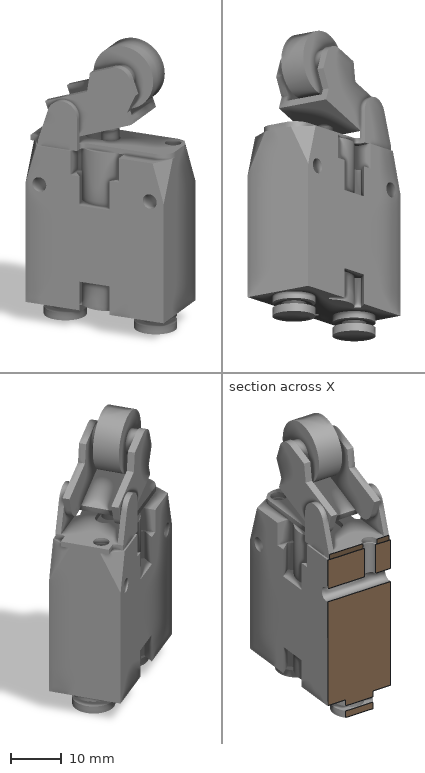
import cadquery as cq
import math

OVERALL_HEIGHT = 58.75

HOUSING_LENGTH = 30.0
HOUSING_WIDTH = 15.0
HOUSING_BOTTOM = 4.0
HOUSING_TOP = 37.05
CORNER_CUT = (2.4, 4.3, 8.15)

CROSS_HOLE_DIAMETER = 3.0
CROSS_HOLE_X = 12.0
CROSS_HOLE_Z = 29.0

CORE_RADIUS = 6.0
UPPER_RECESS_WIDTH = 10.5
UPPER_RECESS_FLOOR = 32.0
UPPER_RECESS_BACK_Y = 4.0
SLOT_MOUTH_WIDTH = 6.45
SLOT_INNER_WIDTH = 10.15
SLOT_INNER_DEPTH = 2.25
SLOT_BACK_WIDTH = 7.7
SLOT_BACK_DEPTH = SLOT_INNER_DEPTH + (SLOT_INNER_WIDTH - SLOT_BACK_WIDTH) / 2
TOP_SLOT_FLOOR = 25.9
BOTTOM_SLOT_ROOF = 10.0

FOOT_DIAMETER = 8.5
FOOT_NECK_DIAMETER = 5.0
FOOT_X = 9.8
FOOT_FLANGE_HEIGHT = 1.6
FOOT_NECK_TOP = 2.65

PLATE_THICKNESS = 1.1
PLATE_TOP = HOUSING_TOP + PLATE_THICKNESS
PLATE_WIDTH = 10.05
PLATE_CORNER_RADIUS = 3.05
EAR_INNER_Y = 5.95
EAR_THICKNESS = 1.2
EAR_OUTER_Y = EAR_INNER_Y + EAR_THICKNESS
EAR_LEFT_X = -12.45
EAR_RIGHT_X = -4.0
EAR_LEFT_FILLET = 0.5
EAR_RIGHT_FILLET = 0.9
EAR_RADIUS = 3.25
EAR_PIVOT_X = EAR_RIGHT_X - EAR_RADIUS
EAR_PIVOT_Z = 43.75

PLUNGER_SLOT_WIDTH = 4.0
PLUNGER_SLOT_END_X = -3.1

SCREW_X = 12.45
SCREW_Y = 2.5
SCREW_HEAD_DIAMETER = 3.25
SCREW_HOLE_DIAMETER = 2.45
SCREW_HOLE_BOTTOM = 29.95

PLUNGER_DIAMETER = 3.5
PLUNGER_SHOULDER = 40.3
PLUNGER_TOP = 41.0

LEVER_TILT = 20.0
LEVER_SHEET = 1.45
LEVER_OUTER_WIDTH = 11.7
LEVER_INNER_WIDTH = LEVER_OUTER_WIDTH - 2 * LEVER_SHEET
LEVER_MIDDLE_Y = EAR_INNER_Y - LEVER_OUTER_WIDTH / 2
ARM_HEIGHT = 7.0
ARM_END_RADIUS = 3.4
BRIDGE_START = 4.75
BRIDGE_END = 16.8
LOBE_FOOT = 9.7
LOBE_START = 11.6
LOBE_RISE = 3.6
LOBE_RADIUS = 3.0
LOBE_CHAMFER = 2.95
LOBE_END = BRIDGE_END + LOBE_CHAMFER
AXLE_ALONG = LOBE_END - LOBE_RADIUS
AXLE_RISE = LOBE_RISE - LOBE_RADIUS

AXLE_DIAMETER = 5.4
ROLLER_DIAMETER = 13.0
ROLLER_WIDTH = 5.45
ROLLER_X = 4.0
ROLLER_Z = OVERALL_HEIGHT - ROLLER_DIAMETER / 2


def box(x_range, y_range, z_range):
    """Box between two limits along each axis."""
    size = [high - low for low, high in (x_range, y_range, z_range)]
    corner = (x_range[0], y_range[0], z_range[0])
    return cq.Workplane("XY").box(*size, centered=False).translate(corner)


def cylinder(diameter, x, y, bottom, top):
    """Upright cylinder."""
    return cq.Workplane("XY", origin=(x, y, bottom)).circle(diameter / 2).extrude(top - bottom)


def both_sides(shape):
    """The shape together with its mirror image across the XZ plane."""
    return shape.union(shape.mirror("XZ"))


def corner_wedge(side_x, side_y):
    """Tetrahedron that slopes one top corner of the housing."""
    cut_x, cut_y, cut_z = CORNER_CUT
    x = side_x * HOUSING_LENGTH / 2
    y = side_y * HOUSING_WIDTH / 2
    tip = cq.Vector(x, y, HOUSING_TOP)
    on_x = cq.Vector(x - side_x * cut_x, y, HOUSING_TOP)
    on_y = cq.Vector(x, y - side_y * cut_y, HOUSING_TOP)
    on_z = cq.Vector(x, y, HOUSING_TOP - cut_z)
    triangles = [(tip, on_x, on_y), (tip, on_y, on_z), (tip, on_z, on_x), (on_x, on_y, on_z)]
    faces = [cq.Face.makeFromWires(cq.Wire.makePolygon(points, close=True)) for points in triangles]
    return cq.Workplane(cq.Solid.makeSolid(cq.Shell.makeShell(faces)))


def side_slot(bottom, top):
    """Slot in the -Y side that widens behind its mouth."""
    face_y = -HOUSING_WIDTH / 2
    half_outline = [
        (SLOT_MOUTH_WIDTH / 2, face_y),
        (SLOT_INNER_WIDTH / 2, face_y + SLOT_INNER_DEPTH),
        (SLOT_BACK_WIDTH / 2, face_y + SLOT_BACK_DEPTH),
    ]
    outline = half_outline + [(-x, y) for x, y in reversed(half_outline)]
    return cq.Workplane("XY", origin=(0, 0, bottom)).polyline(outline).close().extrude(top - bottom)


def side_recesses():
    """Everything cut from both long sides, leaving the round core standing."""
    half_width = UPPER_RECESS_WIDTH / 2
    upper = box(
        (-half_width, half_width),
        (-HOUSING_WIDTH / 2, -UPPER_RECESS_BACK_Y),
        (UPPER_RECESS_FLOOR, HOUSING_TOP),
    )
    recess = upper.union(side_slot(TOP_SLOT_FLOOR, HOUSING_TOP))
    recess = recess.union(side_slot(HOUSING_BOTTOM, BOTTOM_SLOT_ROOF))
    core = cylinder(2 * CORE_RADIUS, 0, 0, HOUSING_BOTTOM, HOUSING_TOP)
    return both_sides(recess.cut(core))


def housing_block():
    block = box(
        (-HOUSING_LENGTH / 2, HOUSING_LENGTH / 2),
        (-HOUSING_WIDTH / 2, HOUSING_WIDTH / 2),
        (HOUSING_BOTTOM, HOUSING_TOP),
    )
    for side_x in (-1, 1):
        for side_y in (-1, 1):
            block = block.cut(corner_wedge(side_x, side_y))
    cross_holes = (
        cq.Workplane("XZ", origin=(0, HOUSING_WIDTH / 2, 0))
        .pushPoints([(-CROSS_HOLE_X, CROSS_HOLE_Z), (CROSS_HOLE_X, CROSS_HOLE_Z)])
        .circle(CROSS_HOLE_DIAMETER / 2)
        .extrude(HOUSING_WIDTH)
    )
    return block.cut(side_recesses()).cut(cross_holes)


def foot(x):
    """Foot with a ring groove between two flanges."""
    lower_flange = cylinder(FOOT_DIAMETER, x, 0, 0, FOOT_FLANGE_HEIGHT)
    neck = cylinder(FOOT_NECK_DIAMETER, x, 0, FOOT_FLANGE_HEIGHT, FOOT_NECK_TOP)
    upper_flange = cylinder(FOOT_DIAMETER, x, 0, FOOT_NECK_TOP, HOUSING_BOTTOM)
    return lower_flange.union(neck).union(upper_flange)


def ear():
    """Upright ear on the -Y side: a straight edge, a round top and a sloped edge."""
    run = EAR_PIVOT_X - EAR_LEFT_X
    rise = EAR_PIVOT_Z - PLATE_TOP
    slope = math.atan2(rise, run) + math.asin(EAR_RADIUS / math.hypot(run, rise))
    tangent_x = EAR_PIVOT_X - EAR_RADIUS * math.sin(slope)
    tangent_z = EAR_PIVOT_Z + EAR_RADIUS * math.cos(slope)
    return (
        cq.Workplane("XZ", origin=(0, -EAR_INNER_Y, 0))
        .moveTo(EAR_LEFT_X, HOUSING_TOP)
        .lineTo(EAR_RIGHT_X, HOUSING_TOP)
        .lineTo(EAR_RIGHT_X, EAR_PIVOT_Z)
        .threePointArc((EAR_PIVOT_X, EAR_PIVOT_Z + EAR_RADIUS), (tangent_x, tangent_z))
        .lineTo(EAR_LEFT_X, PLATE_TOP)
        .close()
        .extrude(EAR_THICKNESS)
    )


def top_plate():
    """Plate with two ears, widened at the ears and filleted where it widens."""
    z_range = (HOUSING_TOP, PLATE_TOP)
    half_length = HOUSING_LENGTH / 2
    plate = box((-half_length, half_length), (-PLATE_WIDTH / 2, PLATE_WIDTH / 2), z_range)
    plate = plate.edges("|Z and >X").fillet(PLATE_CORNER_RADIUS)
    plate = plate.union(box((EAR_LEFT_X, EAR_RIGHT_X), (-EAR_OUTER_Y, EAR_OUTER_Y), z_range))
    for x, radius in ((EAR_LEFT_X, EAR_LEFT_FILLET), (EAR_RIGHT_X, EAR_RIGHT_FILLET)):
        for y in (-PLATE_WIDTH / 2, PLATE_WIDTH / 2):
            inner_corner = cq.selectors.NearestToPointSelector((x, y, HOUSING_TOP + PLATE_THICKNESS / 2))
            plate = plate.edges("|Z").edges(inner_corner).fillet(radius)
    return plate.union(both_sides(ear()))


def plunger_slot():
    """Round-ended clearance slot for the plunger."""
    slot = box(
        (PLUNGER_SLOT_END_X, 0),
        (-PLUNGER_SLOT_WIDTH / 2, PLUNGER_SLOT_WIDTH / 2),
        (HOUSING_TOP, PLATE_TOP),
    )
    for x in (PLUNGER_SLOT_END_X, 0):
        slot = slot.union(cylinder(PLUNGER_SLOT_WIDTH, x, 0, HOUSING_TOP, PLATE_TOP))
    return slot


def plunger():
    """Round plunger with a domed end."""
    radius = PLUNGER_DIAMETER / 2
    dome_height = PLUNGER_TOP - PLUNGER_SHOULDER
    dome_radius = (radius**2 + dome_height**2) / (2 * dome_height)
    half_angle = math.asin(radius / dome_radius) / 2
    dome_middle = (
        dome_radius * math.sin(half_angle),
        PLUNGER_TOP - dome_radius * (1 - math.cos(half_angle)),
    )
    return (
        cq.Workplane("XZ")
        .moveTo(0, HOUSING_TOP)
        .lineTo(radius, HOUSING_TOP)
        .lineTo(radius, PLUNGER_SHOULDER)
        .threePointArc(dome_middle, (0, PLUNGER_TOP))
        .close()
        .revolve(360, (0, 0, 0), (0, 1, 0))
    )


def screw_holes(diameter, bottom, top):
    """The two diagonally opposite screw holes."""
    first = cylinder(diameter, -SCREW_X, -SCREW_Y, bottom, top)
    return first.union(cylinder(diameter, SCREW_X, SCREW_Y, bottom, top))


def switch_housing():
    """Housing with its feet and plunger; its screw holes run into the cross holes."""
    body = housing_block().union(plunger())
    for x in (-FOOT_X, FOOT_X):
        body = body.union(foot(x))
    return body.cut(screw_holes(SCREW_HOLE_DIAMETER, SCREW_HOLE_BOTTOM, HOUSING_TOP))


def lever_sheet(start_y):
    """Plane facing -Y, first axis along the lever, origin at its upper corner by the ears."""
    tilt = math.radians(LEVER_TILT)
    corner_x = ROLLER_X - AXLE_ALONG * math.cos(tilt) + AXLE_RISE * math.sin(tilt)
    corner_z = ROLLER_Z - AXLE_ALONG * math.sin(tilt) - AXLE_RISE * math.cos(tilt)
    along = (math.cos(tilt), 0, math.sin(tilt))
    return cq.Workplane(cq.Plane((corner_x, start_y, corner_z), along, (0, -1, 0)))


def lever_arm(start_y):
    """One side arm, reaching a sheet thickness towards -Y from start_y."""
    diagonal = math.sqrt(0.5)
    end_inset = ARM_END_RADIUS * (1 - diagonal)
    lobe_reach = LOBE_RADIUS * diagonal
    return (
        lever_sheet(start_y)
        .moveTo(0, 0)
        .lineTo(LOBE_FOOT, 0)
        .lineTo(LOBE_START, LOBE_RISE)
        .lineTo(AXLE_ALONG, LOBE_RISE)
        .threePointArc((AXLE_ALONG + lobe_reach, AXLE_RISE + lobe_reach), (LOBE_END, AXLE_RISE))
        .lineTo(LOBE_END, -LOBE_CHAMFER)
        .lineTo(BRIDGE_END, -2 * LOBE_CHAMFER)
        .lineTo(BRIDGE_END, -ARM_HEIGHT)
        .lineTo(ARM_END_RADIUS, -ARM_HEIGHT)
        .threePointArc((end_inset, end_inset - ARM_HEIGHT), (0, ARM_END_RADIUS - ARM_HEIGHT))
        .close()
        .extrude(LEVER_SHEET)
    )


def lever_bridge():
    """Sheet below the arms that joins them."""
    return (
        lever_sheet(LEVER_MIDDLE_Y + LEVER_OUTER_WIDTH / 2)
        .moveTo(BRIDGE_START, -ARM_HEIGHT)
        .lineTo(BRIDGE_END, -ARM_HEIGHT)
        .lineTo(BRIDGE_END, -ARM_HEIGHT - LEVER_SHEET)
        .lineTo(BRIDGE_START, -ARM_HEIGHT - LEVER_SHEET)
        .close()
        .extrude(LEVER_OUTER_WIDTH)
    )


def wheel(diameter, width):
    """Cylinder on the roller's axis, centred between the arms."""
    return (
        cq.Workplane("XZ", origin=(ROLLER_X, LEVER_MIDDLE_Y + width / 2, ROLLER_Z))
        .circle(diameter / 2)
        .extrude(width)
    )


def roller_lever():
    """Two arms joined by a bridge, with an axle and a roller between them."""
    lever = lever_bridge()
    for width in (LEVER_OUTER_WIDTH, -LEVER_INNER_WIDTH):
        lever = lever.union(lever_arm(LEVER_MIDDLE_Y + width / 2))
    axle = wheel(AXLE_DIAMETER, LEVER_INNER_WIDTH)
    roller = wheel(ROLLER_DIAMETER, ROLLER_WIDTH)
    return lever.union(axle).union(roller)


def actuator_head():
    """Top plate with its ears, and the roller lever set against the +Y ear."""
    plate = top_plate().cut(plunger_slot()).cut(screw_holes(SCREW_HEAD_DIAMETER, HOUSING_TOP, PLATE_TOP))
    return plate.union(roller_lever())


housing = switch_housing()
head = actuator_head()

result = cq.Compound.makeCompound([*housing.solids().vals(), *head.solids().vals()])